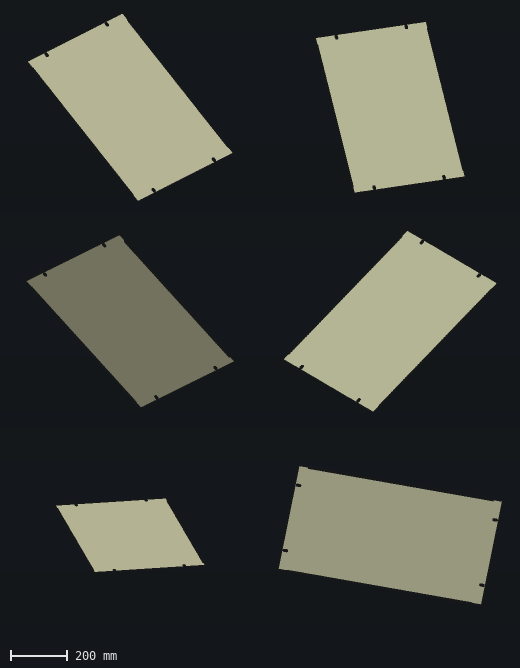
import cadquery as cq

panel_length = 730.0
panel_width = 399.0
sheet_thickness = 2.0
overall_height = 6.5

lip_end_setback = 34.0
lip_length = panel_length - 2 * lip_end_setback
lip_edge_setback = 1.0
lip_drop = overall_height - sheet_thickness

slot_length = 14.5
slot_width = 6.5
slot_edge_margin = 6.0
slot_spacing_y = 250.5
slot_spacing_x = panel_length - 2 * slot_edge_margin - slot_length


def make_panel():
    """Flat sheet with its underside on Z = 0."""
    return cq.Workplane("XY").box(
        panel_length, panel_width, sheet_thickness, centered=(True, True, False)
    )


def make_lip(side):
    """Lip hanging below the panel, set slightly in from the long edge on the given Y side."""
    center_y = side * ((panel_width - sheet_thickness) / 2 - lip_edge_setback)
    return (
        cq.Workplane("XY")
        .box(lip_length, sheet_thickness, overall_height, centered=(True, True, False))
        .translate((0, center_y, -lip_drop))
    )


def cut_mounting_slots(body):
    """Four rounded slots, elongated along X, through the sheet."""
    slots = (
        cq.Workplane("XY")
        .rarray(slot_spacing_x, slot_spacing_y, 2, 2)
        .slot2D(slot_length, slot_width)
        .extrude(sheet_thickness)
    )
    return body.cut(slots)


panel = make_panel()
for side in (-1, 1):
    panel = panel.union(make_lip(side))

result = cut_mounting_slots(panel)